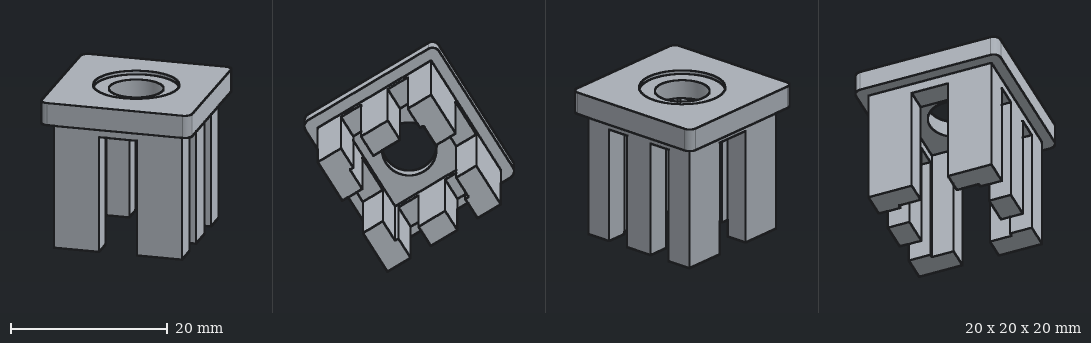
import cadquery as cq

overall_height = 20.0
cap_side = 20.0
cap_thickness = 3.0
corner_radius = 1.0

body_side = 17.0
web_thickness = 1.5
center_slot_width = 5.0
side_slot_width = 3.0
middle_leg_width = 4.0
wall_thickness = 3.0

hole_diameter = 7.0
recess_diameter = 11.0
recess_depth = 0.5

body_height = overall_height - cap_thickness
slot_height = body_height - web_thickness
cavity_side = body_side - 2 * wall_thickness
side_slot_offset = (middle_leg_width + side_slot_width) / 2


def block(size_x, size_y, height):
    """Box centred on the Z axis, standing on Z = 0."""
    return cq.Workplane("XY").box(size_x, size_y, height, centered=(True, True, False))


cap = block(cap_side, cap_side, cap_thickness).edges("|Z").fillet(corner_radius)
body = block(body_side, body_side, body_height)
result = body.union(cap.translate((0, 0, body_height)))

result = result.cut(block(cavity_side, cavity_side, body_height))

result = result.cut(block(center_slot_width, body_side, slot_height))
for side in (-1, 1):
    side_slot = block(body_side, side_slot_width, slot_height)
    result = result.cut(side_slot.translate((0, side * side_slot_offset, 0)))

result = result.faces(">Z").workplane(origin=(0, 0, overall_height)).cboreHole(
    hole_diameter, recess_diameter, recess_depth
)